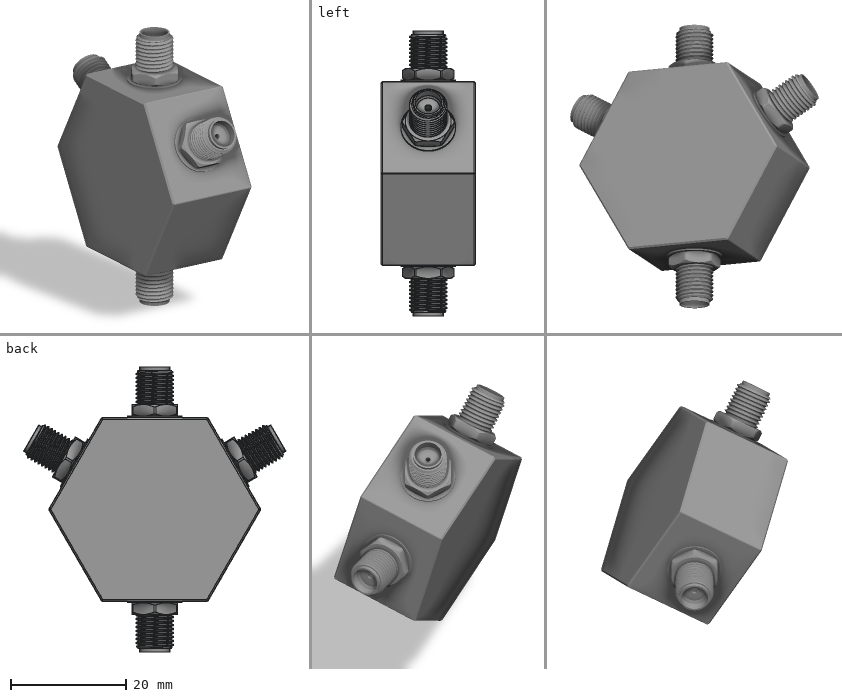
import cadquery as cq
import math

overall_height = 49.6
connector_length = 8.85
housing_depth = 16.5
housing_apothem = overall_height / 2 - connector_length
face_chamfer = 0.3
corner_chamfer = 0.1
connector_angles = (0, 60, -60, 180)

washer_radius = 4.75
washer_thickness = 0.25

nut_across_flats = 8.0
nut_corner_radius = 4.5
nut_thickness = 2.05
nut_chamfer_height = 0.4
nut_top = washer_thickness + nut_thickness

tip_radius = 2.65
tip_length = 0.65
barrel_end = connector_length - tip_length

thread_radius = 3.25
thread_root_radius = 2.9
thread_pitch = 0.7
thread_start = 1.35
thread_flank_angle = 30
thread_crest_half_width = 0.05
thread_overlap = 0.15

bore_radius = 2.35
bore_depth = 1.8
floor_radius = 2.05
floor_depth = 2.15
contact_radius = 0.6
contact_height = 0.15
pin_hole_radius = 0.45
pin_hole_depth = 1.5


def hexagon_diameter(across_flats):
    """Diameter of the circle through the corners of a hexagon."""
    return across_flats / math.cos(math.radians(30))


def make_housing():
    hexagon = cq.Workplane("XZ").polygon(6, hexagon_diameter(2 * housing_apothem))
    block = hexagon.extrude(housing_depth / 2, both=True)
    block = block.edges("|Y").chamfer(corner_chamfer)
    return block.faces("<Y or >Y").edges().chamfer(face_chamfer)


def make_nut():
    """Hexagon nut, corners along Y, bevelled at both ends."""
    bevel_radius = nut_across_flats / 2
    hexagon = (
        cq.Workplane("XY", origin=(0, 0, washer_thickness))
        .transformed(rotate=(0, 0, 90))
        .polygon(6, hexagon_diameter(nut_across_flats))
        .extrude(nut_thickness)
    )
    bevelled_disc = (
        cq.Workplane("XZ")
        .moveTo(0, washer_thickness)
        .lineTo(bevel_radius, washer_thickness)
        .lineTo(nut_corner_radius, washer_thickness + nut_chamfer_height)
        .lineTo(nut_corner_radius, nut_top - nut_chamfer_height)
        .lineTo(bevel_radius, nut_top)
        .lineTo(0, nut_top)
        .close()
        .revolve()
    )
    return hexagon.intersect(bevelled_disc)


def make_thread():
    """Helical ridge, trimmed to a bevel where it runs out near the tip."""
    thread_depth = thread_radius - thread_root_radius
    ridge_depth = thread_depth + thread_overlap
    flank_width = ridge_depth * math.tan(math.radians(thread_flank_angle))
    base_half_width = thread_crest_half_width + flank_width
    base_radius = thread_root_radius - thread_overlap
    envelope_radius = thread_root_radius + 2 * thread_depth
    turns = math.ceil((barrel_end - thread_start) / thread_pitch)
    helix = cq.Wire.makeHelix(thread_pitch, turns * thread_pitch, thread_root_radius)
    ridge = (
        cq.Workplane("XZ")
        .moveTo(base_radius, -base_half_width)
        .lineTo(thread_radius, -thread_crest_half_width)
        .lineTo(thread_radius, thread_crest_half_width)
        .lineTo(base_radius, base_half_width)
        .close()
        .sweep(cq.Workplane(obj=helix), isFrenet=True)
        .translate((0, 0, thread_start))
    )
    envelope = (
        cq.Workplane("XY")
        .circle(envelope_radius)
        .extrude(barrel_end)
        .faces(">Z")
        .chamfer(envelope_radius - thread_root_radius)
    )
    return ridge.intersect(envelope)


def make_socket():
    """Space inside the connector: bore with a tapered floor edge, around a hollow contact."""
    bore_bottom = connector_length - bore_depth
    floor = connector_length - floor_depth
    contact_top = floor + contact_height
    return (
        cq.Workplane("XZ")
        .moveTo(0, connector_length)
        .lineTo(bore_radius, connector_length)
        .lineTo(bore_radius, bore_bottom)
        .lineTo(floor_radius, floor)
        .lineTo(contact_radius, floor)
        .lineTo(contact_radius, contact_top)
        .lineTo(pin_hole_radius, contact_top)
        .lineTo(pin_hole_radius, floor - pin_hole_depth)
        .lineTo(0, floor - pin_hole_depth)
        .close()
        .revolve()
    )


def make_connector():
    washer = cq.Workplane("XY").circle(washer_radius).extrude(washer_thickness)
    barrel = cq.Workplane("XY").circle(thread_root_radius).extrude(barrel_end)
    tip = cq.Workplane("XY").circle(tip_radius).extrude(connector_length)
    threaded_barrel = barrel.union(make_thread()).union(tip)
    return washer.union(make_nut()).union(threaded_barrel).cut(make_socket())


connector = make_connector().translate((0, 0, housing_apothem))
result = make_housing()
for angle in connector_angles:
    result = result.union(connector.rotate((0, 0, 0), (0, 1, 0), angle))